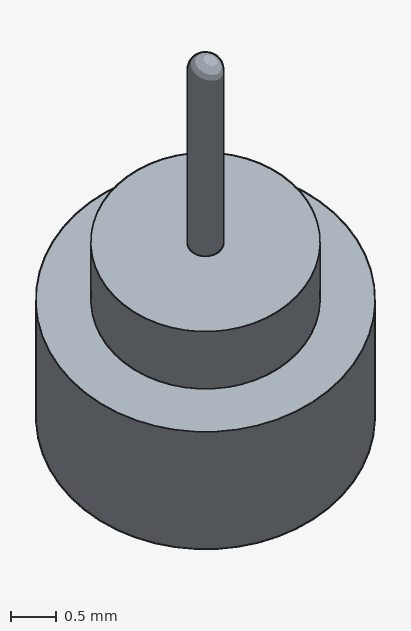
import cadquery as cq

total_height = 6.25
body_height = 2.05
collar_height = 1.0

body_diameter = 3.7
collar_diameter = 2.5
pin_diameter = 0.4

shoulder_level = body_height + collar_height
pin_radius = pin_diameter / 2
pin_height = total_height - shoulder_level

body = cq.Workplane("XY").circle(body_diameter / 2).extrude(body_height)

collar = (
    cq.Workplane("XY", origin=(0, 0, body_height))
    .circle(collar_diameter / 2)
    .extrude(collar_height)
)

pin_shank = (
    cq.Workplane("XY", origin=(0, 0, shoulder_level))
    .circle(pin_radius)
    .extrude(pin_height - pin_radius)
)
pin_tip = cq.Workplane("XY", origin=(0, 0, total_height - pin_radius)).sphere(pin_radius)

result = body.union(collar).union(pin_shank).union(pin_tip)